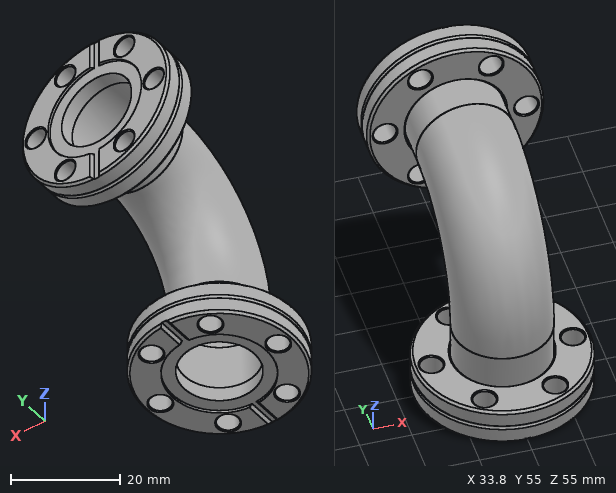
import cadquery as cq
import math

flange_diameter = 33.8
overall_length = 55.0
axis_to_face = overall_length - flange_diameter / 2
bend_radius = 23.85
elbow_end = axis_to_face - bend_radius

stub_diameter = 19.0
elbow_diameter = 19.1
pipe_bore = 17.0

flange_thickness = 7.6
flange_bore = 16.0
socket_diameter = 19.2
socket_depth = flange_thickness / 2
socket_chamfer = 0.3
rim_chamfer = 0.5
rim_groove_width = 0.8
rim_groove_depth = 0.3
gasket_recess_diameter = 21.4
gasket_recess_depth = 0.6

bolt_count = 6
bolt_hole_diameter = 4.4
bolt_circle_diameter = 27.0
bolt_hole_chamfer = 0.2

notch_depth = gasket_recess_depth
notch_floor_width = 1.0
notch_mouth_width = notch_floor_width + 2 * notch_depth


def flange_blank():
    """Disc on Z = 0 with chamfered rims and a round-bottomed groove round the middle of its edge."""
    radius = flange_diameter / 2
    middle = flange_thickness / 2
    profile = (
        cq.Workplane("XZ")
        .moveTo(0, 0)
        .lineTo(radius - rim_chamfer, 0)
        .lineTo(radius, rim_chamfer)
        .lineTo(radius, middle - rim_groove_width / 2)
        .threePointArc(
            (radius - rim_groove_depth, middle),
            (radius, middle + rim_groove_width / 2),
        )
        .lineTo(radius, flange_thickness - rim_chamfer)
        .lineTo(radius - rim_chamfer, flange_thickness)
        .lineTo(0, flange_thickness)
        .close()
    )
    return profile.revolve(360, (0, 0, 0), (0, 1, 0))


def bolt_hole_cutter():
    """Through hole with a small chamfer at each mouth, centred on the Z axis."""
    radius = bolt_hole_diameter / 2
    mouth_radius = radius + bolt_hole_chamfer
    profile = (
        cq.Workplane("XZ")
        .moveTo(0, 0)
        .lineTo(mouth_radius, 0)
        .lineTo(radius, bolt_hole_chamfer)
        .lineTo(radius, flange_thickness - bolt_hole_chamfer)
        .lineTo(mouth_radius, flange_thickness)
        .lineTo(0, flange_thickness)
        .close()
    )
    return profile.revolve(360, (0, 0, 0), (0, 1, 0))


def notch_cutter():
    """Trapezoidal channel across the sealing face, running along Y."""
    profile = (
        cq.Workplane("XZ")
        .moveTo(-notch_mouth_width / 2, 0)
        .lineTo(notch_mouth_width / 2, 0)
        .lineTo(notch_floor_width / 2, notch_depth)
        .lineTo(-notch_floor_width / 2, notch_depth)
        .close()
    )
    return profile.extrude(flange_diameter / 2, both=True)


def socket_cutter():
    """Pipe socket in the back of the flange, with a chamfered mouth."""
    radius = socket_diameter / 2
    floor = flange_thickness - socket_depth
    profile = (
        cq.Workplane("XZ")
        .moveTo(0, floor)
        .lineTo(radius, floor)
        .lineTo(radius, flange_thickness - socket_chamfer)
        .lineTo(radius + socket_chamfer, flange_thickness)
        .lineTo(0, flange_thickness)
        .close()
    )
    return profile.revolve(360, (0, 0, 0), (0, 1, 0))


def make_flange():
    """Flange with its sealing face on Z = 0 and the pipe socket on top."""
    bore = cq.Workplane("XY").circle(flange_bore / 2).extrude(flange_thickness)
    recess = cq.Workplane("XY").circle(gasket_recess_diameter / 2).extrude(gasket_recess_depth)
    flange = flange_blank().cut(bore).cut(recess).cut(socket_cutter()).cut(notch_cutter())
    for index in range(bolt_count):
        angle = math.radians(index * 360 / bolt_count)
        x = bolt_circle_diameter / 2 * math.cos(angle)
        y = bolt_circle_diameter / 2 * math.sin(angle)
        flange = flange.cut(bolt_hole_cutter().translate((x, y, 0)))
    return flange


def make_pipe_stub():
    """Straight pipe from the floor of the flange socket to the start of the bend."""
    socket_floor = flange_thickness - socket_depth
    return (
        cq.Workplane("XY", origin=(0, 0, socket_floor))
        .circle(stub_diameter / 2)
        .circle(pipe_bore / 2)
        .extrude(elbow_end - socket_floor)
    )


def make_elbow():
    """Quarter-turn pipe bend from +Z to +Y, starting at the end of the lower stub."""
    return (
        cq.Workplane("XY", origin=(0, 0, elbow_end))
        .circle(elbow_diameter / 2)
        .circle(pipe_bore / 2)
        .revolve(90, (0, bend_radius, 0), (-1, bend_radius, 0))
    )


def place_at_end(body, end):
    """Leave a body on the lower end, or swing it from the -Z end to the +Y end."""
    if end == "lower":
        return body
    corner = (0, 0, axis_to_face)
    return body.rotate(corner, (1, 0, axis_to_face), 90)


elbow = make_elbow()
solids = [elbow.val()]
for end in ("lower", "rear"):
    flange = place_at_end(make_flange(), end)
    pipe_stub = place_at_end(make_pipe_stub(), end)
    solids.append(flange.val())
    solids.append(pipe_stub.val())

result = cq.Compound.makeCompound(solids)